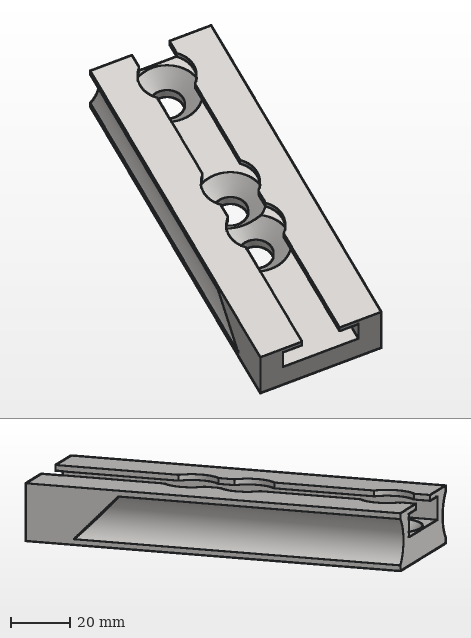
import cadquery as cq

length = 134
width = 45.0
height = 20.0

slot_width = 28.0
slot_mouth = 14.0
lip_thickness = 2.0
slot_depth = 10.0
floor_z = height - slot_depth

first_hole_x = 12.9
hole_spacing_long = 50.0
hole_spacing_short = 20.0
hole_positions = [
    first_hole_x,
    first_hole_x + hole_spacing_long,
    first_hole_x + hole_spacing_long + hole_spacing_short,
]
hole_diameter = 12.0
countersink_diameter = 24.0
lip_clearance_diameter = 20.0

grip_edge = 2.0
grip_depth = 3.1
grip_bottom_length = 116.7
grip_height = height - 2 * grip_edge
grip_top_length = grip_bottom_length - grip_height


def make_slot():
    """T-shaped channel running the full length."""
    channel = cq.Workplane("XY").box(
        length, slot_width, slot_depth - lip_thickness, centered=(False, True, False)
    )
    mouth = cq.Workplane("XY").box(length, slot_mouth, slot_depth, centered=(False, True, False))
    return channel.union(mouth).translate((0, 0, floor_z))


def make_hole_cutter(x):
    """Countersunk hole through the floor, with screw head clearance through the lips."""
    hole_radius = hole_diameter / 2
    countersink_radius = countersink_diameter / 2
    countersink_bottom = floor_z - (countersink_radius - hole_radius)
    shaft_and_cone = (
        cq.Workplane("XZ")
        .moveTo(0, 0)
        .lineTo(hole_radius, 0)
        .lineTo(hole_radius, countersink_bottom)
        .lineTo(countersink_radius, floor_z)
        .lineTo(0, floor_z)
        .close()
        .revolve(360, (0, 0), (0, 1))
    )
    clearance = (
        cq.Workplane("XY", origin=(0, 0, floor_z))
        .circle(lip_clearance_diameter / 2)
        .extrude(slot_depth)
    )
    return shaft_and_cone.union(clearance).translate((x, 0, 0))


def make_grip():
    """Circular-segment groove for the -Y side, trimmed by its sloping end."""
    side_y = -width / 2
    groove = (
        cq.Workplane("YZ")
        .moveTo(side_y, grip_edge)
        .threePointArc((side_y + grip_depth, height / 2), (side_y, height - grip_edge))
        .close()
        .extrude(grip_bottom_length)
    )
    sloped_end = (
        cq.Workplane("XZ")
        .moveTo(0, grip_edge)
        .lineTo(grip_bottom_length, grip_edge)
        .lineTo(grip_top_length, height - grip_edge)
        .lineTo(0, height - grip_edge)
        .close()
        .extrude(width)
    )
    return groove.intersect(sloped_end)


result = cq.Workplane("XY").box(length, width, height, centered=(False, True, False))
result = result.cut(make_slot())
for hole_x in hole_positions:
    result = result.cut(make_hole_cutter(hole_x))
grip = make_grip()
result = result.cut(grip).cut(grip.mirror("XZ"))